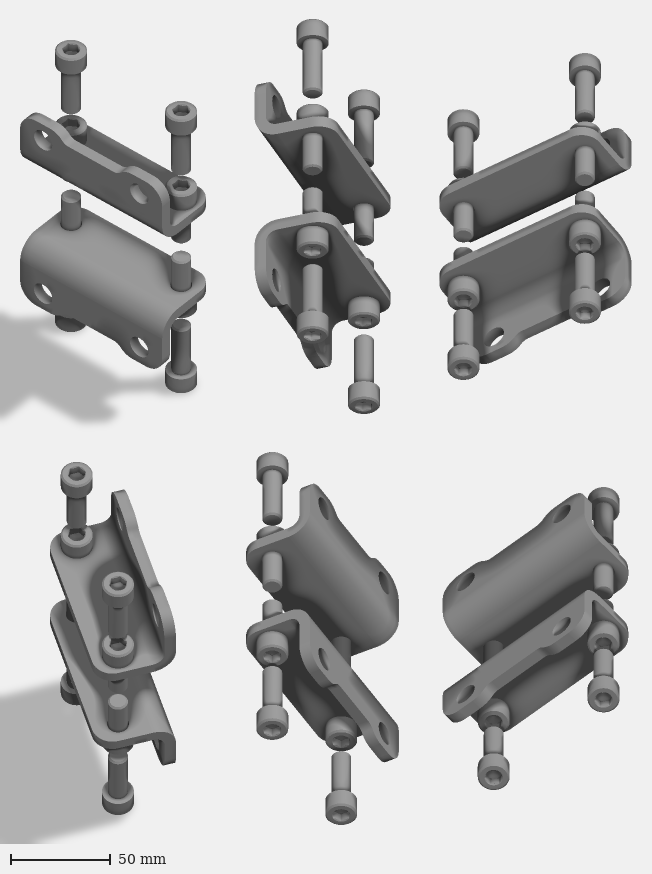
import cadquery as cq
import math

half_height = 91.0

bracket_length = 93.0
bracket_depth = 40.5
thickness = 6.0
bend_outer_radius = 12.0
bend_inner_radius = bend_outer_radius - thickness
plate_outer_z = 25.1
plate_inner_z = plate_outer_z + thickness
flange_end_z = 61.3
corner_radius = 10.5

relief_depth = 5.3
relief_half_width = 14.7
relief_root_radius = 6.0
ear_radius = 11.0

flange_hole_diameter = 12.0
flange_hole_x = 31.5
flange_hole_z = 51.0
screw_hole_diameter = 11.0
screw_x = 36.0
screw_y = 27.1

shank_diameter = 10.0
head_diameter = 16.0
head_height = 10.0
head_chamfer = 1.0
tip_chamfer = 1.0
neck_diameter = 9.8
neck_length = 1.0
socket_flats = 8.0
socket_corners = socket_flats / math.cos(math.pi / 6)
socket_turn = 30
socket_depth = 5.0
socket_cone_height = 2.4
socket_lead_in = 0.5
free_screw_length = 29.8
fitted_screw_length = 25.1
free_seat_z = half_height - head_height


def mirrored(solid):
    """Copy of a solid on the other side of the XY plane."""
    return solid.mirror("XY")


def angle_section():
    """L-shaped bar with a rounded bend, spanning the bracket length."""
    bend_outer_shift = bend_outer_radius * (1 - math.sqrt(0.5))
    bend_inner_shift = thickness + bend_inner_radius * (1 - math.sqrt(0.5))
    return (
        cq.Workplane("YZ", origin=(-bracket_length / 2, 0, plate_outer_z))
        .moveTo(bracket_depth, 0)
        .lineTo(bend_outer_radius, 0)
        .threePointArc((bend_outer_shift, bend_outer_shift), (0, bend_outer_radius))
        .lineTo(0, flange_end_z - plate_outer_z)
        .lineTo(thickness, flange_end_z - plate_outer_z)
        .lineTo(thickness, bend_outer_radius)
        .threePointArc((bend_inner_shift, bend_inner_shift), (bend_outer_radius, thickness))
        .lineTo(bracket_depth, thickness)
        .close()
        .extrude(bracket_length)
    )


def relief_cutter():
    """Shallow relief whose sides are two tangent arcs: a concave root and a convex ear."""
    floor_z = flange_end_z - relief_depth
    radius_sum = relief_root_radius + ear_radius
    sweep = math.acos(1 - relief_depth / radius_sum)
    tangent_x = relief_half_width + relief_root_radius * math.sin(sweep)
    tangent_z = floor_z + relief_root_radius * (1 - math.cos(sweep))
    ear_x = relief_half_width + radius_sum * math.sin(sweep)
    root_mid_x = relief_half_width + relief_root_radius * math.sin(sweep / 2)
    root_mid_z = floor_z + relief_root_radius * (1 - math.cos(sweep / 2))
    ear_mid_x = ear_x - ear_radius * math.sin(sweep / 2)
    ear_mid_z = flange_end_z - ear_radius * (1 - math.cos(sweep / 2))
    return (
        cq.Workplane("XZ")
        .moveTo(-relief_half_width, floor_z)
        .lineTo(relief_half_width, floor_z)
        .threePointArc((root_mid_x, root_mid_z), (tangent_x, tangent_z))
        .threePointArc((ear_mid_x, ear_mid_z), (ear_x, flange_end_z))
        .lineTo(-ear_x, flange_end_z)
        .threePointArc((-ear_mid_x, ear_mid_z), (-tangent_x, tangent_z))
        .threePointArc((-root_mid_x, root_mid_z), (-relief_half_width, floor_z))
        .close()
        .extrude(-thickness)
    )


def make_bracket():
    """Upper bracket: flat plate, bend and upright flange with two ears."""
    body = angle_section()
    body = body.edges("|Z and >Y").fillet(corner_radius)
    body = body.edges("|Y and >Z").fillet(corner_radius)
    body = body.cut(relief_cutter())
    flange_holes = (
        cq.Workplane("XZ", origin=(0, 0, flange_hole_z))
        .pushPoints([(-flange_hole_x, 0), (flange_hole_x, 0)])
        .circle(flange_hole_diameter / 2)
        .extrude(-thickness)
    )
    screw_holes = (
        cq.Workplane("XY", origin=(0, screw_y, plate_outer_z))
        .pushPoints([(-screw_x, 0), (screw_x, 0)])
        .circle(screw_hole_diameter / 2)
        .extrude(thickness)
    )
    return body.cut(flange_holes).cut(screw_holes).val()


def hex_socket():
    """Hexagonal recess with a conical floor and a conical lead-in."""
    floor_z = head_height - socket_depth
    hexagon = (
        cq.Workplane("XY", origin=(0, 0, floor_z))
        .polygon(6, socket_corners)
        .extrude(socket_depth)
        .rotate((0, 0, 0), (0, 0, 1), socket_turn)
    )
    floor_cone = (
        cq.Workplane("XZ")
        .moveTo(0, floor_z - socket_cone_height)
        .lineTo(socket_flats / 2, floor_z)
        .lineTo(0, floor_z)
        .close()
        .revolve(360, (0, 0, 0), (0, 1, 0))
    )
    lead_in = (
        cq.Workplane("XZ")
        .moveTo(0, head_height)
        .lineTo(socket_corners / 2, head_height)
        .lineTo(socket_corners / 2 - socket_lead_in, head_height - socket_lead_in)
        .lineTo(0, head_height - socket_lead_in)
        .close()
        .revolve(360, (0, 0, 0), (0, 1, 0))
    )
    return hexagon.union(floor_cone).union(lead_in)


def make_screw(shank_length):
    """Cap screw pointing down, with the underside of its head at Z = 0."""
    head = (
        cq.Workplane("XY")
        .circle(head_diameter / 2)
        .extrude(head_height)
        .faces(">Z")
        .chamfer(head_chamfer)
        .cut(hex_socket())
    )
    neck = cq.Workplane("XY").circle(neck_diameter / 2).extrude(-neck_length)
    shank = (
        cq.Workplane("XY", origin=(0, 0, -shank_length))
        .circle(shank_diameter / 2)
        .extrude(shank_length - neck_length)
        .faces("<Z")
        .chamfer(tip_chamfer)
    )
    return head.union(neck).union(shank).val()


upper_bracket = make_bracket()
brackets = [upper_bracket, mirrored(upper_bracket)]

screws = []
for shank_length, seat_z in [
    (free_screw_length, free_seat_z),
    (fitted_screw_length, plate_inner_z),
]:
    for x in (-screw_x, screw_x):
        upper_screw = make_screw(shank_length).translate(cq.Vector(x, screw_y, seat_z))
        screws += [upper_screw, mirrored(upper_screw)]

result = cq.Compound.makeCompound([*brackets, *screws])